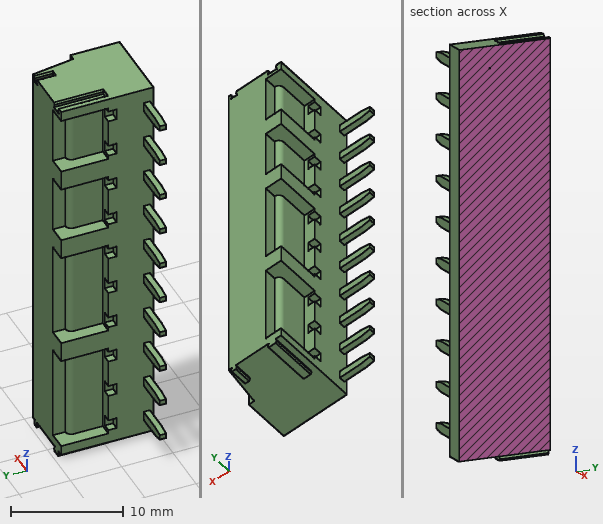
import cadquery as cq

TOTAL_HEIGHT = 38.65
TOTAL_WIDTH = 10.9
DEPTH = 9.0
PIN_COUNT = 10
KEY_HEIGHT = 0.55
PIN_LENGTH = 3.5

body_height = TOTAL_HEIGHT - KEY_HEIGHT
body_width = TOTAL_WIDTH - PIN_LENGTH
pitch = body_height / PIN_COUNT
pole_centres = [(i + 0.5) * pitch for i in range(PIN_COUNT)]

LEDGE_Y = 4.8
SLOPE_START_X = 6.75
SLOPE_END_X = 6.15

POCKET_GROUPS = [3, 3, 2, 2]
POCKET_WALL = 1.0
POCKET_BOTTOM_Y = 4.4
POCKET_DEPTH = 1.2
STEP_RADIUS = 0.58
OUTER_STRIP_WIDTH = 1.2
STEP_Y = DEPTH - OUTER_STRIP_WIDTH

WINDOW_WIDTH = 0.8
WINDOW_HEIGHT = 1.1
WINDOW_DEPTH = 0.77

PIN_Y = 0.65
PIN_THICKNESS = 0.6
PIN_HEIGHT = 0.9
PIN_TIP_HEIGHT = 0.5
PIN_TAPER = 1.0

KEYS = [(1.05, 0.8, 4.8), (5.53, 0.45, 1.8)]
KEY_BULGE = 0.1
KEY_BULGE_DROP = 0.35


def make_housing():
    outline = [
        (0, 0),
        (body_width, 0),
        (body_width, LEDGE_Y),
        (SLOPE_START_X, LEDGE_Y),
        (SLOPE_END_X, DEPTH),
        (0, DEPTH),
    ]
    return cq.Workplane("XY").polyline(outline).close().extrude(body_height)


def make_pocket(z_start, height):
    deep = POCKET_DEPTH + STEP_RADIUS
    return (
        cq.Workplane("XY", origin=(0, 0, z_start))
        .moveTo(0, POCKET_BOTTOM_Y)
        .lineTo(POCKET_DEPTH, POCKET_BOTTOM_Y)
        .lineTo(POCKET_DEPTH, STEP_Y - STEP_RADIUS)
        .radiusArc((deep, STEP_Y), STEP_RADIUS)
        .lineTo(deep, DEPTH)
        .lineTo(0, DEPTH)
        .close()
        .extrude(height)
    )


def make_window(z_centre):
    corner = (0, POCKET_BOTTOM_Y - WINDOW_WIDTH, z_centre)
    return cq.Workplane("XY", origin=corner).box(
        WINDOW_DEPTH, WINDOW_WIDTH, WINDOW_HEIGHT, centered=(False, False, True)
    )


def make_bar(section, centre_x, z_base, length):
    """Straight bar running in from the +Y face, its section given in X and Z."""
    return (
        cq.Workplane("XZ", origin=(centre_x, DEPTH, z_base))
        .polyline(section)
        .close()
        .extrude(length)
    )


def make_key(centre_x, neck_width, length):
    """Key under the housing, widest at the bulge below its neck."""
    half_neck = neck_width / 2
    half_bulge = half_neck + KEY_BULGE
    section = [
        (-half_neck, 0),
        (half_neck, 0),
        (half_bulge, -KEY_BULGE_DROP),
        (half_neck, -KEY_HEIGHT),
        (-half_neck, -KEY_HEIGHT),
        (-half_bulge, -KEY_BULGE_DROP),
    ]
    return make_bar(section, centre_x, 0, length)


def make_groove(centre_x, neck_width, length):
    """Groove in the top face: flared mouth, narrow waist and undercut floor."""
    half_waist = neck_width / 2
    half_wide = half_waist + KEY_BULGE
    waist_depth = KEY_HEIGHT - KEY_BULGE_DROP
    section = [
        (-half_wide, 0),
        (half_wide, 0),
        (half_waist, -waist_depth),
        (half_wide, -KEY_HEIGHT),
        (-half_wide, -KEY_HEIGHT),
        (-half_waist, -waist_depth),
    ]
    return make_bar(section, centre_x, body_height, length)


def make_pin(z_centre):
    """Flat pin, tapered in height toward its tip."""
    half = PIN_HEIGHT / 2
    half_tip = PIN_TIP_HEIGHT / 2
    taper_x = PIN_TAPER - PIN_LENGTH
    outline = [
        (0, -half),
        (0, half),
        (taper_x, half),
        (-PIN_LENGTH, half_tip),
        (-PIN_LENGTH, -half_tip),
        (taper_x, -half),
    ]
    return (
        cq.Workplane("XZ", origin=(0, PIN_Y + PIN_THICKNESS / 2, z_centre))
        .polyline(outline)
        .close()
        .extrude(PIN_THICKNESS)
    )


result = make_housing()

group_start = 0
for poles in POCKET_GROUPS:
    group_height = poles * pitch
    result = result.cut(make_pocket(group_start + POCKET_WALL, group_height - 2 * POCKET_WALL))
    group_start += group_height

for z in pole_centres:
    result = result.cut(make_window(z)).union(make_pin(z))

for centre_x, neck_width, length in KEYS:
    result = result.cut(make_groove(centre_x, neck_width, length))
    result = result.union(make_key(centre_x, neck_width, length))